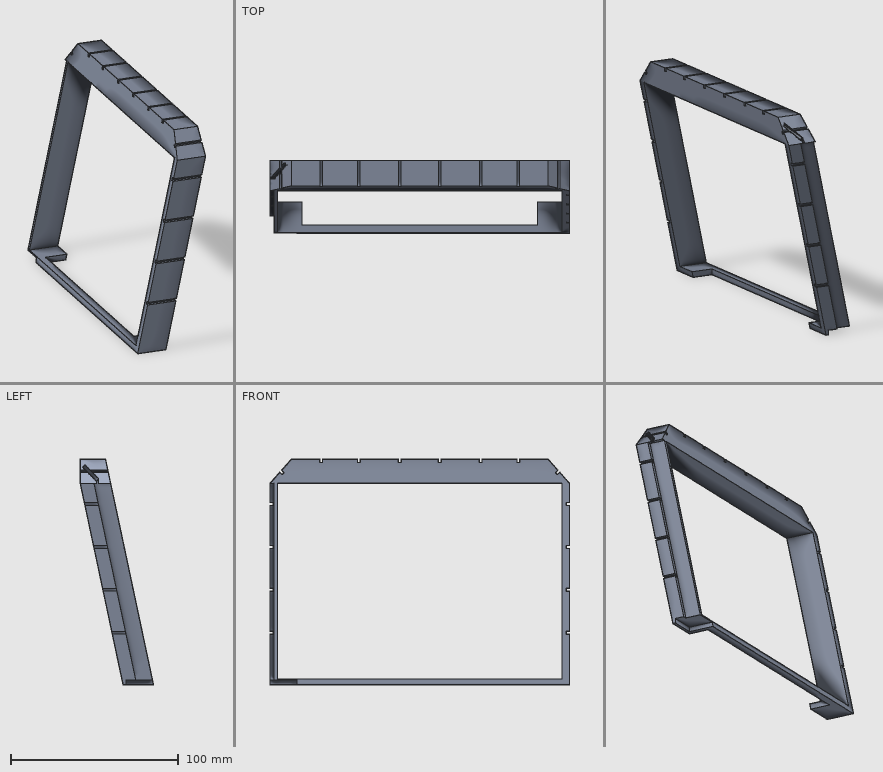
import cadquery as cq
import math

WIDTH = 178.7
DEPTH = 43.6
HEIGHT = 134.5
LEAN = math.tan(math.radians(12))

CORNER_WIDTH = 12.9
CORNER_HEIGHT = 14.5
SHOULDER_Z = HEIGHT - CORNER_HEIGHT
WALL = 4.6
FLOOR = 3.5

STRIP_DEPTH = 5.2
LIP_HEIGHT = 0.7
FOOT_END = 19.3

RECESS = 2.5
RECESS_SETBACK = 8.2
RELIEF_SIZE = 16.3
RELIEF_HEIGHT = 2.9

GROOVE_WIDTH = 1.6
GROOVE_DEPTH = 2.0
CORNER_GROOVE_TILT = 45
TOP_GROOVE_OFFSETS = (12.0, 36.3, 58.8)
SIDE_GROOVE_FIRST_Z = 31.0
SIDE_GROOVE_PITCH = 25.5
SIDE_GROOVE_COUNT = 4

SLOT_WIDTH = 2.0
SLOT_FLOOR_BOTTOM_X = 3.4
SLOT_FLOOR_TOP_X = 18.4
SLOT_TOP = (41.5, 130.5)
SLOT_BOTTOM = (33.2, 122.0)
SLOT_EXIT_WIDTH = 1.0


def block(x_range, y_range, z_range):
    """Axis-aligned block between the given limits."""
    sizes = [high - low for low, high in (x_range, y_range, z_range)]
    return cq.Workplane("XY").box(*sizes, centered=False).translate((x_range[0], y_range[0], z_range[0]))


def side_profile(points, x_start, x_end):
    """Outline in the YZ plane extruded along X."""
    return cq.Workplane("YZ").polyline(points).close().extrude(x_end - x_start).translate((x_start, 0, 0))


def leaning_body():
    """Solid slab with parallel leaning faces, a vertical upper back and cut top corners."""
    slab = side_profile(
        [
            (0, 0),
            (DEPTH - SHOULDER_Z * LEAN, 0),
            (DEPTH, SHOULDER_Z),
            (DEPTH, HEIGHT),
            ((HEIGHT - LIP_HEIGHT) * LEAN, HEIGHT),
            (0, LIP_HEIGHT),
        ],
        0,
        WIDTH,
    )
    outline = (
        cq.Workplane("XZ")
        .polyline(
            [
                (0, 0),
                (WIDTH, 0),
                (WIDTH, SHOULDER_Z),
                (WIDTH - CORNER_WIDTH, HEIGHT),
                (CORNER_WIDTH, HEIGHT),
                (0, SHOULDER_Z),
            ]
        )
        .close()
        .extrude(-DEPTH)
    )
    return slab.intersect(outline)


def openings():
    """Window through the frame and the cut-out behind the floor strip."""
    window = block((WALL, WIDTH - WALL), (0, DEPTH), (FLOOR, SHOULDER_Z))
    floor_gap = block((FOOT_END, WIDTH - FOOT_END), (STRIP_DEPTH, DEPTH), (0, FLOOR))
    return window.union(floor_gap)


def left_recess():
    """Step along the left side in front of the rear rib, and the relief below the corner."""
    rib_front_y = DEPTH - RECESS_SETBACK
    step = side_profile(
        [
            (0, 0),
            (rib_front_y - SHOULDER_Z * LEAN, 0),
            (rib_front_y, SHOULDER_Z),
            (0, SHOULDER_Z),
        ],
        0,
        RECESS,
    )
    relief = block((0, RELIEF_SIZE), (0, RELIEF_SIZE), (0, RELIEF_HEIGHT))
    return step.union(relief)


def groove(x, z, angle):
    """Front-to-back groove entering an outer face at (x, z); the angle turns it about Y."""
    return (
        cq.Workplane("XY")
        .box(GROOVE_WIDTH, DEPTH, 2 * GROOVE_DEPTH)
        .rotate((0, 0, 0), (0, 1, 0), angle)
        .translate((x, DEPTH / 2, z))
    )


def wire_grooves():
    """All grooves on the top, both sides and both cut corners."""
    corner_z = SHOULDER_Z + CORNER_HEIGHT / 2
    cuts = groove(CORNER_WIDTH / 2, corner_z, -CORNER_GROOVE_TILT)
    cuts = cuts.union(groove(WIDTH - CORNER_WIDTH / 2, corner_z, CORNER_GROOVE_TILT))
    for offset in TOP_GROOVE_OFFSETS:
        for side in (-1, 1):
            cuts = cuts.union(groove(WIDTH / 2 + side * offset, HEIGHT, 0))
    for index in range(SIDE_GROOVE_COUNT):
        z = SIDE_GROOVE_FIRST_Z + index * SIDE_GROOVE_PITCH
        for x in (0, WIDTH):
            cuts = cuts.union(groove(x, z, 90))
    return cuts


def diagonal_slot():
    """Diagonal slot cut along X with a sloping floor, and a short exit down into the side recess."""
    rise = SLOT_TOP[1] - SLOT_BOTTOM[1]
    run = SLOT_TOP[0] - SLOT_BOTTOM[0]
    length = math.hypot(run, rise)
    lower_end = cq.Plane(origin=(0, *SLOT_BOTTOM), xDir=(1, 0, 0), normal=(0, -rise, run))
    slot = (
        cq.Workplane(lower_end)
        .polyline([(0, 0), (SLOT_FLOOR_BOTTOM_X, 0), (SLOT_FLOOR_TOP_X, length), (0, length)])
        .close()
        .extrude(SLOT_WIDTH / 2, both=True)
    )
    exit_y = SLOT_BOTTOM[0]
    leg = block(
        (0, RECESS),
        (exit_y - SLOT_EXIT_WIDTH / 2, exit_y + SLOT_EXIT_WIDTH / 2),
        (SHOULDER_Z, SLOT_BOTTOM[1]),
    )
    return slot.union(leg)


result = (
    leaning_body()
    .cut(openings())
    .cut(left_recess())
    .cut(wire_grooves())
    .cut(diagonal_slot())
)